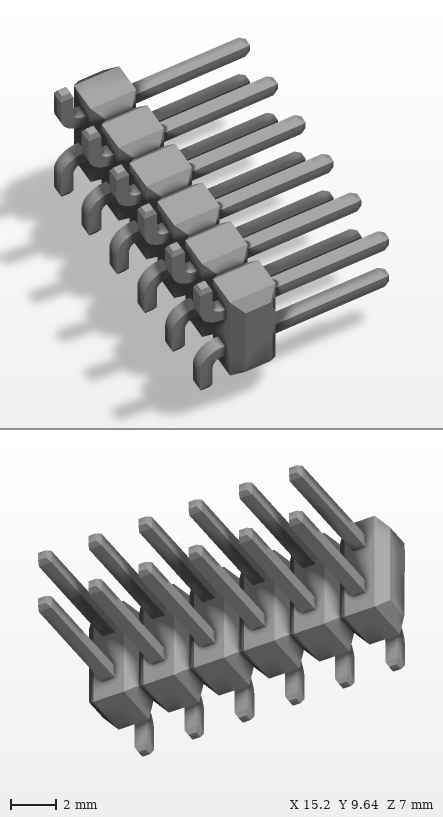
import cadquery as cq

PIN_COLUMNS = 6
TOTAL_LENGTH = 15.24
PITCH = TOTAL_LENGTH / PIN_COLUMNS
ROW_OFFSET = PITCH / 2

BODY_DEPTH = 2.3
BODY_HEIGHT = 2 * PITCH
BODY_CHAMFER = 0.5

PIN_WIDTH = 0.64
PIN_REACH = 6.08
TAIL_REACH = 1.26
TAIL_SPAN = 7.0
BEND_INNER_RADIUS = 0.5
PIN_TIP_LENGTH = 0.29
TAIL_TIP_LENGTH = 0.25
TIP_TAPER = 0.12

BEND_MID_RADIUS = BEND_INNER_RADIUS + PIN_WIDTH / 2


def body_cell(x):
    """One block of the insulator, chamfered all round its two X faces."""
    block = cq.Workplane("XY").box(PITCH, BODY_DEPTH, BODY_HEIGHT)
    block = block.faces("<X or >X").chamfer(BODY_CHAMFER)
    return block.translate((x, BODY_DEPTH / 2, 0))


def tapered_tip(base_center, direction, length):
    """A truncated pyramid that ends a pin along the given direction."""
    plane = cq.Plane(origin=base_center, xDir=(1, 0, 0), normal=direction)
    end_width = PIN_WIDTH - 2 * TIP_TAPER
    return (
        cq.Workplane(plane)
        .rect(PIN_WIDTH, PIN_WIDTH)
        .workplane(offset=length)
        .rect(end_width, end_width)
        .loft(ruled=True, combine=True)
    )


def upper_pin(x):
    """A straight pin through the body whose front end bends up into a tail."""
    pin_end = BODY_DEPTH + PIN_REACH - PIN_TIP_LENGTH
    tail_end = TAIL_SPAN / 2 - TAIL_TIP_LENGTH
    tail_center_y = PIN_WIDTH / 2 - TAIL_REACH
    bend_start_y = tail_center_y + BEND_MID_RADIUS
    bend_end_z = ROW_OFFSET + BEND_MID_RADIUS

    path = (
        cq.Workplane("YZ", origin=(x, 0, 0))
        .moveTo(pin_end, ROW_OFFSET)
        .lineTo(bend_start_y, ROW_OFFSET)
        .radiusArc((tail_center_y, bend_end_z), BEND_MID_RADIUS)
        .lineTo(tail_center_y, tail_end)
    )
    shank = (
        cq.Workplane("XZ", origin=(x, pin_end, ROW_OFFSET))
        .rect(PIN_WIDTH, PIN_WIDTH)
        .sweep(path)
    )
    pin_tip = tapered_tip((x, pin_end, ROW_OFFSET), (0, 1, 0), PIN_TIP_LENGTH)
    tail_tip = tapered_tip((x, tail_center_y, tail_end), (0, 0, 1), TAIL_TIP_LENGTH)
    return shank.union(pin_tip).union(tail_tip)


columns = [(i - (PIN_COLUMNS - 1) / 2) * PITCH for i in range(PIN_COLUMNS)]

result = body_cell(columns[0])
for column_x in columns[1:]:
    result = result.union(body_cell(column_x))

for column_x in columns:
    pin = upper_pin(column_x)
    result = result.union(pin).union(pin.mirror("XY"))